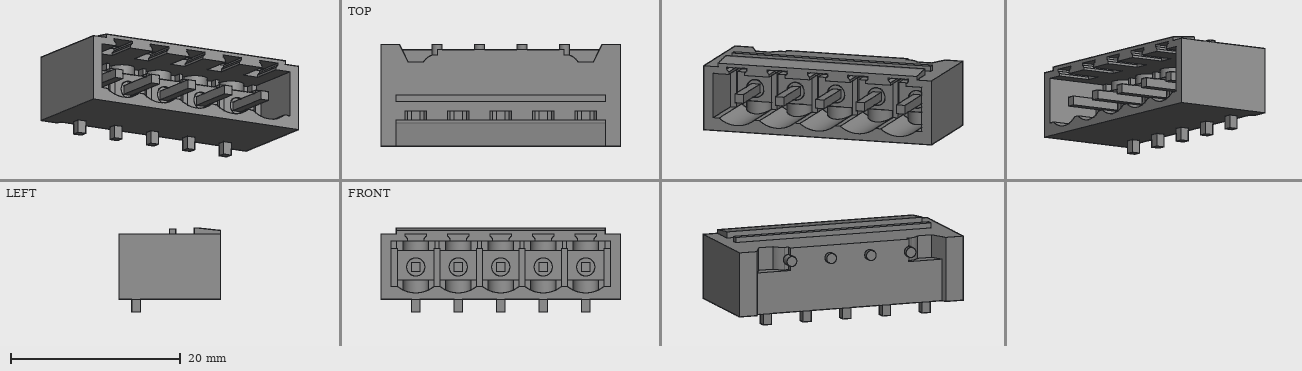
import cadquery as cq


poles = 5
pitch = 5.0
pole_xs = [(i - (poles - 1) / 2) * pitch for i in range(poles)]
gap_xs = [x + pitch / 2 for x in pole_xs[:-1]]

length = 28.2
depth = 12.0
body_height = 7.7
half_length = length / 2

side_wall = 1.2
cavity_half = half_length - side_wall
cavity_floor_z = 1.54
cavity_top_z = 6.86
cavity_back_y = 8.6
divider_width = 0.66
bay_width = pitch - divider_width
scallop_z = 0.77

column_radius = 1.5
block_front_y = 7.0
block_bottom_z = 2.3
block_top_z = 5.74
rib_front_y = 6.6
rib_top_z = 6.0
upper_rib_front_y = 7.6
upper_rib_width = 0.44

slot_length = 4.16
slot_top_width = 2.5
slot_neck_width = 1.95
slot_shoulder_z = 7.47
slot_neck_z = 7.15

ridge_length = 24.6
ridge_depth = 3.13
ridge_flat = 0.34
ridge_height = 0.73
ridge_front_height = 0.43
top_rib_y = 5.27
top_rib_width = 0.77
top_rib_height = 0.6

rear_y = 11.4
corner_top_width = 2.2
corner_root_width = 3.2
notch_root_y = 9.94
notch_flat_end = 5.0
notch_arc_end = 6.14
notch_end = 6.63
notch_arc_mid = (5.5, 10.48)
notch_shelf_y = 10.79
notch_floor_z = 5.0
boss_radius = 0.61
boss_z = 6.2

pin_width = 1.05
pin_z = 3.82
pin_tip_y = 0.95
tail_y = 9.95
tail_length = 1.5
recess_diameter = 2.14
recess_depth = 0.3


def box(x_min, x_max, y_min, y_max, z_min, z_max):
    size = (x_max - x_min, y_max - y_min, z_max - z_min)
    return cq.Workplane("XY").box(*size, centered=False).translate((x_min, y_min, z_min))


def box_at(x, width, y_min, y_max, z_min, z_max):
    """Box centred on x."""
    return box(x - width / 2, x + width / 2, y_min, y_max, z_min, z_max)


def along_y(x, y):
    """Workplane facing +Y at (x, y) whose local axes are +X and +Z."""
    return cq.Workplane(cq.Plane(origin=(x, y, 0), xDir=(1, 0, 0), normal=(0, -1, 0)))


def make_pin(x):
    """Square pin: a contact along Y that turns down into a solder tail."""
    half = pin_width / 2
    contact = box_at(x, pin_width, pin_tip_y, tail_y + half, pin_z - half, pin_z + half)
    tail = box_at(x, pin_width, tail_y - half, tail_y + half, -tail_length, pin_z + half)
    return contact.union(tail)


def bay_scallop(x):
    """Hollowed bay floor, a circular arc swept along the cavity."""
    half = bay_width / 2
    return (
        along_y(x, 0)
        .moveTo(-half, cavity_floor_z)
        .threePointArc((0, scallop_z), (half, cavity_floor_z))
        .close()
        .extrude(-cavity_back_y)
    )


def key_slot(x):
    """Slot open at the mating face and into the cavity, wider at the top."""
    top = slot_top_width / 2
    neck = slot_neck_width / 2
    return (
        along_y(x, 0)
        .moveTo(-top, body_height)
        .lineTo(-top, slot_shoulder_z)
        .lineTo(-neck, slot_neck_z)
        .lineTo(-neck, cavity_top_z)
        .lineTo(neck, cavity_top_z)
        .lineTo(neck, slot_neck_z)
        .lineTo(top, slot_shoulder_z)
        .lineTo(top, body_height)
        .close()
        .extrude(-slot_length)
    )


def pin_seat(x):
    """Block and half-round column on the back wall that carry one pin."""
    block = box_at(x, bay_width, block_front_y, cavity_back_y, block_bottom_z, block_top_z)
    column = (
        cq.Workplane("XY", origin=(x, cavity_back_y, scallop_z))
        .circle(column_radius)
        .extrude(cavity_top_z - scallop_z)
    )
    recess = along_y(x, block_front_y).center(0, pin_z).circle(recess_diameter / 2).extrude(-recess_depth)
    return block.union(column).cut(recess)


def divider_ribs():
    """Stepped ribs on the back wall; the outermost two reach the side walls."""
    ribs = cq.Workplane("XY")
    for x in [pole_xs[0] - pitch / 2, *gap_xs, pole_xs[-1] + pitch / 2]:
        for width, front_y, bottom_z, top_z in (
            (divider_width, rib_front_y, cavity_floor_z, rib_top_z),
            (upper_rib_width, upper_rib_front_y, rib_top_z, cavity_top_z),
        ):
            x_min = x - width / 2
            x_max = x + width / 2
            if x < pole_xs[0]:
                x_min = -cavity_half
            if x > pole_xs[-1]:
                x_max = cavity_half
            ribs = ribs.union(box(x_min, x_max, front_y, cavity_back_y, bottom_z, top_z))
    return ribs


def front_ridge():
    """Ridge along the front top edge, sloping down towards the mating face."""
    return (
        cq.Workplane("YZ", origin=(-ridge_length / 2, 0, body_height))
        .lineTo(0, ridge_front_height)
        .lineTo(ridge_depth - ridge_flat, ridge_height)
        .lineTo(ridge_depth, ridge_height)
        .lineTo(ridge_depth, 0)
        .close()
        .extrude(ridge_length)
    )


def corner_flank_x(y):
    """Distance from the housing end to the sloped flank of a corner block."""
    slope = (corner_root_width - corner_top_width) / (depth - notch_root_y)
    return corner_top_width + (depth - y) * slope


def rear_relief():
    """Full-height space between the two corner blocks, behind the rear face."""
    tip = half_length - corner_top_width
    root = half_length - corner_flank_x(rear_y)
    return (
        cq.Workplane("XY")
        .polyline([(-tip, depth), (-root, rear_y), (root, rear_y), (tip, depth)])
        .close()
        .extrude(body_height)
    )


def rear_notch():
    """Notch beside the -X corner block, open at the top and the rear."""
    mid_x, mid_y = notch_arc_mid
    return (
        cq.Workplane("XY", origin=(-half_length, 0, notch_floor_z))
        .moveTo(corner_flank_x(rear_y), rear_y)
        .lineTo(corner_root_width, notch_root_y)
        .lineTo(notch_flat_end, notch_root_y)
        .threePointArc((mid_x, mid_y), (notch_arc_end, notch_shelf_y))
        .lineTo(notch_end, notch_shelf_y)
        .lineTo(notch_end, rear_y)
        .close()
        .extrude(body_height - notch_floor_z)
    )


def rear_boss(x):
    """Round stand-off reaching from inside the rear wall to the corner block tips."""
    return along_y(x, depth).center(0, boss_z).circle(boss_radius).extrude(depth - notch_root_y)


def make_housing():
    body = box_at(0, length, 0, depth, 0, body_height)
    body = body.cut(box_at(0, 2 * cavity_half, 0, cavity_back_y, cavity_floor_z, cavity_top_z))
    for x in pole_xs:
        body = body.cut(bay_scallop(x)).cut(key_slot(x))
    for x in pole_xs:
        body = body.union(pin_seat(x))
    body = body.union(divider_ribs())

    body = body.union(front_ridge())
    top_rib_top_z = body_height + top_rib_height
    body = body.union(
        box_at(0, ridge_length, top_rib_y, top_rib_y + top_rib_width, body_height, top_rib_top_z)
    )

    notch = rear_notch()
    body = body.cut(rear_relief()).cut(notch).cut(notch.mirror("YZ"))
    for x in gap_xs:
        body = body.union(rear_boss(x))

    for x in pole_xs:
        body = body.cut(make_pin(x))
    return body


housing = make_housing()
pins = [make_pin(x) for x in pole_xs]

result = cq.Compound.makeCompound([housing.val(), *[pin.val() for pin in pins]])